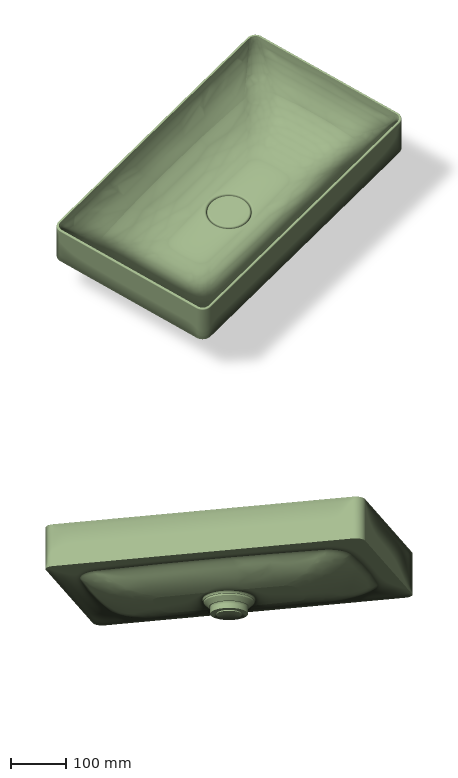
import cadquery as cq
import math

length = 600.0
width = 345.0
tray_height = 80.5
corner_radius = 18.0
rim_width = 4.0
rim_round = 2.0

wall_depth = 73.0
pan_depth = 33.0
floor_thickness = 7.0
knee_half_width = 132.0
knee_half_length = 259.0
knee_corner_x = 81.5
knee_corner_y = 210.5
knee_side_bow = 6.0
knee_end_bow = 4.0
pan_power_x = 3.4
pan_power_y = 5.5
wall_steps = (0.0, 0.35, 0.7, 1.0)
pan_steps = (0.0, 0.3, 0.6, 0.85, 0.97)

opening_diameter = 81.0
opening_round = 4.0
collar_top_diameter = 98.0
collar_bottom_diameter = 94.0
collar_height = 4.0
collar_overlap = floor_thickness / 2

flange_diameter = 90.5
flange_thickness = 3.0
funnel_bottom_diameter = 73.0
funnel_height = 8.0
pipe_diameter = 68.5
stub_diameter = 46.0
stub_height = 2.0
overall_height = 143.5

cap_diameter = 80.0
cap_round = 3.5

floor_z = -(wall_depth + pan_depth)
underside_z = floor_z - floor_thickness
collar_bottom_z = underside_z - collar_height

rim_corner_radius = corner_radius - rim_width
rim_half_width = width / 2 - rim_width
rim_half_length = length / 2 - rim_width
rim_outline = (
    rim_half_width,
    rim_half_length,
    rim_half_width - rim_corner_radius,
    rim_half_length - rim_corner_radius,
    0.0,
    0.0,
)
knee_outline = (
    knee_half_width,
    knee_half_length,
    knee_corner_x,
    knee_corner_y,
    knee_side_bow,
    knee_end_bow,
)


def outline_wire(outline, z):
    """Closed rectangle at height z with bowed or straight sides and rounded corners."""
    half_width, half_length, corner_x, corner_y, side_bow, end_bow = outline
    side_x = half_width - side_bow
    end_y = half_length - end_bow
    mid_x = corner_x + (side_x - corner_x) * math.sqrt(0.5)
    mid_y = corner_y + (end_y - corner_y) * math.sqrt(0.5)

    def edge(start, middle, end, bow):
        a, b, c = (cq.Vector(x, y, z) for x, y in (start, middle, end))
        return cq.Edge.makeThreePointArc(a, b, c) if bow else cq.Edge.makeLine(a, c)

    edges = [
        edge((side_x, -corner_y), (half_width, 0), (side_x, corner_y), side_bow),
        edge((side_x, corner_y), (mid_x, mid_y), (corner_x, end_y), True),
        edge((corner_x, end_y), (0, half_length), (-corner_x, end_y), end_bow),
        edge((-corner_x, end_y), (-mid_x, mid_y), (-side_x, corner_y), True),
        edge((-side_x, corner_y), (-half_width, 0), (-side_x, -corner_y), side_bow),
        edge((-side_x, -corner_y), (-mid_x, -mid_y), (-corner_x, -end_y), True),
        edge((-corner_x, -end_y), (0, -half_length), (corner_x, -end_y), end_bow),
        edge((corner_x, -end_y), (mid_x, -mid_y), (side_x, -corner_y), True),
    ]
    return cq.Wire.assembleEdges(edges)


def make_wall_space():
    """Space inside the steep wall, upright at the rim and leaning in towards the knee."""
    wires = []
    for step in wall_steps:
        lean = step**2
        outline = [rim + (knee - rim) * lean for rim, knee in zip(rim_outline, knee_outline)]
        wires.append(outline_wire(outline, -wall_depth * step))
    return cq.Workplane(cq.Solid.makeLoft(wires))


def make_pan(top_z):
    """Solid pan that starts at the knee outline and flattens out to its floor."""
    floor_step = pan_steps[-1]
    wires = []
    for step in pan_steps:
        scale_x = (1 - step) ** (1 / pan_power_x)
        scale_y = (1 - step) ** (1 / pan_power_y)
        scales = (scale_x, scale_y, scale_x, scale_y, scale_x, scale_y)
        outline = [size * scale for size, scale in zip(knee_outline, scales)]
        wires.append(outline_wire(outline, top_z - pan_depth * step / floor_step))
    return cq.Workplane(cq.Solid.makeLoft(wires))


def make_basin():
    """Tray with the bowl sunk into it and the drain collar underneath."""
    tray = (
        cq.Workplane("XY")
        .box(width, length, tray_height, centered=(True, True, False))
        .translate((0, 0, -tray_height))
        .edges("|Z")
        .fillet(corner_radius)
        .faces(">Z")
        .edges()
        .fillet(rim_round)
    )
    collar = (
        cq.Workplane("XY", origin=(0, 0, collar_bottom_z))
        .circle(collar_bottom_diameter / 2)
        .workplane(offset=collar_height + collar_overlap)
        .circle(collar_top_diameter / 2)
        .loft()
    )
    basin = tray.union(make_pan(underside_z + pan_depth)).union(collar)
    basin = basin.cut(make_wall_space()).cut(make_pan(-wall_depth))
    return basin.cut(make_opening())


def make_opening():
    """Drain opening with a rounded upper lip, as a solid of revolution."""
    radius = opening_diameter / 2
    lip_middle = opening_round * (1 - math.sqrt(0.5))
    return (
        cq.Workplane("XZ")
        .moveTo(0, collar_bottom_z)
        .lineTo(radius, collar_bottom_z)
        .lineTo(radius, floor_z - opening_round)
        .threePointArc((radius + lip_middle, floor_z - lip_middle), (radius + opening_round, floor_z))
        .lineTo(0, floor_z)
        .close()
        .revolve()
    )


def make_drain():
    """Flange under the collar, funnel, pipe and stub, as one turned solid."""
    flange_bottom_z = collar_bottom_z - flange_thickness
    funnel_bottom_z = flange_bottom_z - funnel_height
    pipe_bottom_z = stub_height - overall_height
    return (
        cq.Workplane("XZ")
        .moveTo(0, collar_bottom_z)
        .lineTo(flange_diameter / 2, collar_bottom_z)
        .lineTo(flange_diameter / 2, flange_bottom_z)
        .lineTo(funnel_bottom_diameter / 2, funnel_bottom_z)
        .lineTo(pipe_diameter / 2, funnel_bottom_z)
        .lineTo(pipe_diameter / 2, pipe_bottom_z)
        .lineTo(stub_diameter / 2, pipe_bottom_z)
        .lineTo(stub_diameter / 2, -overall_height)
        .lineTo(0, -overall_height)
        .close()
        .revolve()
    )


def make_cap():
    """Round plug that rests on the drain with its top level with the bowl floor."""
    return (
        cq.Workplane("XY", origin=(0, 0, collar_bottom_z))
        .circle(cap_diameter / 2)
        .extrude(floor_z - collar_bottom_z)
        .faces(">Z")
        .edges()
        .fillet(cap_round)
    )


basin = make_basin()
drain = make_drain()
cap = make_cap()

result = cq.Compound.makeCompound([basin.val(), drain.val(), cap.val()])